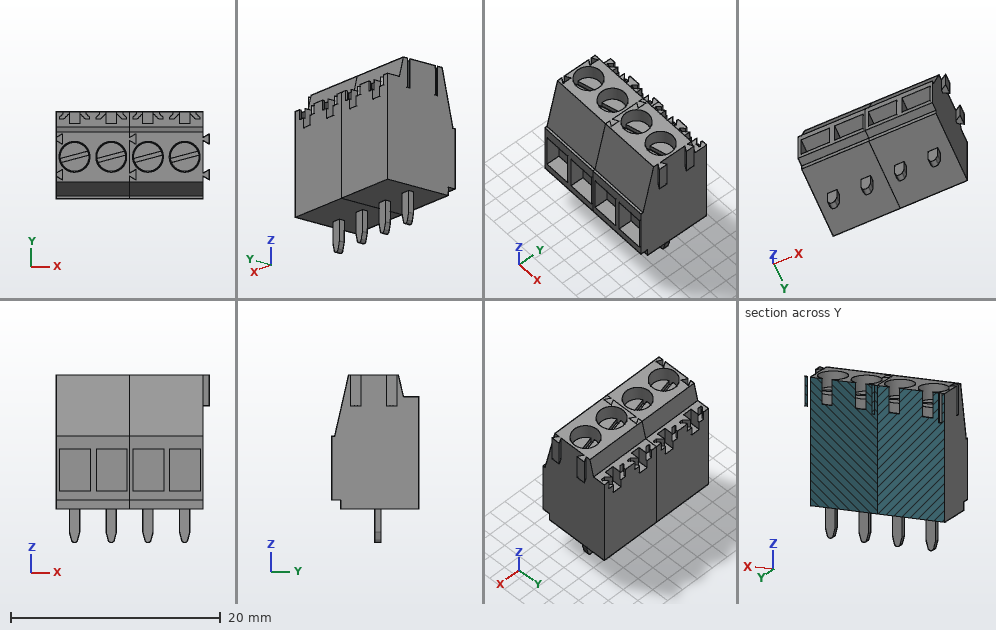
import cadquery as cq

pitch = 3.5
poles_per_housing = 2
housing_count = 2
housing_width = pitch * poles_per_housing
pole_offset = pitch / 2

housing_depth = 8.3
housing_height = 12.8
foot_notch = 0.85
shoulder_height = 6.95
shoulder_depth = 0.27
top_front = 1.6
top_back = 6.36
ledge_height = 10.72
ledge_front = 6.85

window_width = 2.95
window_height = 4.0
window_bottom = 1.73
window_depth = 1.5
window_shift = 0.05

screw_y = 4.0
well_diameter = 2.95
screw_diameter = 2.75
screw_recess = 1.55
screw_length = 1.0
screw_slot_width = 0.4
screw_slot_depth = 0.5
screw_slot_angle = 15

dovetail_ys = (2.3, 5.7)
dovetail_neck = 0.3
dovetail_head = 1.0
dovetail_reach = 0.6
dovetail_height = 2.95

key_slot_width = 1.0
key_slot_reach = 1.1
key_slot_depth = 2.0
arm_mouth = 1.1
arm_span = 1.45
arm_reach = 0.7
arm_lip = 0.2
arm_shoulder = 0.54
arm_root = 0.17
arm_depth = 1.0

pin_width = 1.0
pin_thickness = 0.6
pin_y = 4.4
pin_length = 3.2
pin_straight = 2.2
pin_tip_width = 0.6
pin_tip_start = 2.95


def pole_xs(count):
    """X of each pole centre, starting from the left side of a housing."""
    return [pole_offset + pitch * index for index in range(count)]


def housing_profile():
    """Side outline of the housing swept along its width."""
    outline = [
        (foot_notch, 0),
        (housing_depth, 0),
        (housing_depth, ledge_height),
        (ledge_front, ledge_height),
        (top_back, housing_height),
        (top_front, housing_height),
        (shoulder_depth, shoulder_height),
        (0, shoulder_height),
        (0, foot_notch),
        (foot_notch, foot_notch),
    ]
    return cq.Workplane("YZ").polyline(outline).close().extrude(housing_width)


def dovetails(left):
    """Pair of dovetail prisms whose necks lie on the plane X = left."""
    prisms = cq.Workplane("XY", origin=(0, 0, housing_height - dovetail_height))
    for y in dovetail_ys:
        prisms = prisms.polyline([
            (left, y - dovetail_neck / 2),
            (left + dovetail_reach, y - dovetail_head / 2),
            (left + dovetail_reach, y + dovetail_head / 2),
            (left, y + dovetail_neck / 2),
        ]).close()
    return prisms.extrude(dovetail_height)


def wire_window(x):
    """Rectangular pocket in the front face."""
    return cq.Workplane("XY").box(
        window_width, window_depth, window_height, centered=(True, False, False)
    ).translate((x + window_shift, 0, window_bottom))


def screw_well(x):
    """Round well from the top face down to the seat of the screw."""
    depth = screw_recess + screw_length
    return cq.Workplane("XY", origin=(x, screw_y, housing_height)).circle(well_diameter / 2).extrude(-depth)


def key_recess(x):
    """Deep centre slot flanked by two shallower hooked arms, open to the back face."""
    top_plane = cq.Workplane("XY", origin=(x, housing_depth, ledge_height))
    slot_outline = top_plane.center(0, -key_slot_reach / 2).rect(key_slot_width, key_slot_reach)
    recess = slot_outline.extrude(-key_slot_depth)
    arm_inner_corner = key_slot_width / 2 + arm_reach - arm_root
    for side in (-1, 1):
        arm = top_plane.polyline([
            (side * key_slot_width / 2, 0),
            (side * arm_mouth, 0),
            (side * arm_mouth, -arm_lip),
            (side * arm_span, -arm_shoulder),
            (side * arm_span, -arm_reach),
            (side * arm_inner_corner, -arm_reach),
            (side * key_slot_width / 2, -arm_root),
        ]).close().extrude(-arm_depth)
        recess = recess.union(arm)
    return recess


def make_housing():
    """One housing with its pockets, dovetail grooves on the left and tongues on the right."""
    body = housing_profile().cut(dovetails(0))
    for x in pole_xs(poles_per_housing):
        body = body.cut(wire_window(x)).cut(screw_well(x)).cut(key_recess(x))
    return body.union(dovetails(housing_width))


def make_screw(x):
    """Slotted screw standing on the floor of its well."""
    top = housing_height - screw_recess
    screw = cq.Workplane("XY", origin=(x, screw_y, top)).circle(screw_diameter / 2).extrude(-screw_length)
    slot = (
        cq.Workplane("XY", origin=(x, screw_y, top))
        .transformed(rotate=(0, 0, screw_slot_angle))
        .rect(2 * screw_diameter, screw_slot_width)
        .extrude(-screw_slot_depth)
    )
    return screw.cut(slot)


def make_pin(x):
    """Flat pin below the housing, tapering to a rounded tip."""
    return (
        cq.Workplane("XZ", origin=(x, pin_y, 0))
        .moveTo(-pin_width / 2, 0)
        .lineTo(-pin_width / 2, -pin_straight)
        .lineTo(-pin_tip_width / 2, -pin_tip_start)
        .threePointArc((0, -pin_length), (pin_tip_width / 2, -pin_tip_start))
        .lineTo(pin_width / 2, -pin_straight)
        .lineTo(pin_width / 2, 0)
        .close()
        .extrude(pin_thickness / 2, both=True)
    )


housing = make_housing()
housings = [housing.translate((housing_width * index, 0, 0)).val() for index in range(housing_count)]

all_poles = pole_xs(poles_per_housing * housing_count)
screws = [make_screw(x).val() for x in all_poles]
pins = [make_pin(x).val() for x in all_poles]

result = cq.Compound.makeCompound([*housings, *screws, *pins])